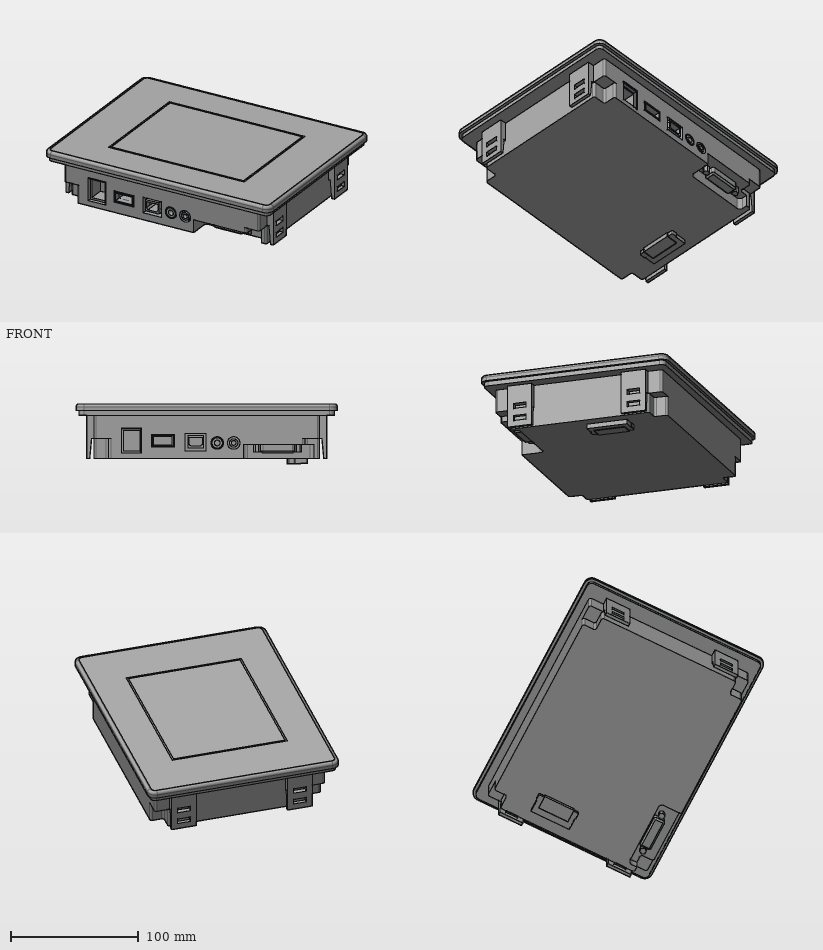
import cadquery as cq


bezel_length = 204.5
bezel_width = 156.0
bezel_corner = 6.3
bezel_edge_fillet = 2.5
bezel_top = 43.0
bezel_bottom = 37.6
gasket_inset = 2.2
gasket_bottom = 34.0

overlay_inset = 3.0
face_relief = 0.2
display_length = 122.6
display_width = 94.0
display_groove = 1.5

housing_length = 176.5
housing_width = 139.5
housing_fillet = 1.8
corner_step_x = 11.5
corner_step_y = 11.0
corner_step_height = 15.7

clip_outer_x = 93.8
clip_width = 20.2
clip_y = 47.5
clip_tip_thickness = 2.5
clip_root_thickness = 3.9
window_width = 10.5
window_height = 4.0
window_levels = (7.0, 17.0)

bay_left = 28.8
bay_right = 83.8
bay_height = 11.2
bay_depth = 18.4
bay_fillet = 3.0
serial_x = 55.4
serial_inset = 11.9
shell_length = 26.5
shell_thickness = 9.5
shell_bottom = 4.5
shell_corner = 1.8
shell_chamfer = 1.5
nut_spacing = 32.3
nut_diameter = 5.3
nut_bottom = 5.3

port_y = 19.8
port_ears_left = 63.5
port_ears_right = 69.0
port_ears_length = 34.7
port_ears_fillet = 1.0
port_back_right = 78.7
port_back_length = 33.5
port_back_drop = 3.7
port_shell_left = 62.8
port_shell_right = 73.4
port_shell_length = 25.5
port_shell_drop = 4.3

ethernet_steps = (
    ((-66.6, -50.9, 4.5, 24.1), 0.8),
    ((-66.6, -51.7, 4.5, 23.3), 3.3),
    ((-65.2, -52.3, 6.1, 21.9), 16.4),
)
usb_groove_depth = 6.1
usb_cavity_depth = 12.3
usb_a_opening = (-43.3, -25.3, 9.0, 18.8)
usb_a_shell = (-42.5, -26.2, 9.8, 18.0)
usb_a_cavity = (-41.7, -27.0, 10.6, 17.2)
usb_b_opening = (-17.0, -0.5, 6.1, 19.6)
usb_b_shell = (-14.7, -2.7, 8.4, 18.2)
usb_b_cavity = (-14.0, -3.5, 9.8, 16.5)
usb_b_cavity_chamfer = 1.5

jack_z = 12.3
jack_opening_radius = 5.0
jack_groove_depth = 4.0
jack_bore_depth = 10.2
jacks = (
    {"x": 8.2, "collar": 4.0, "bore": 2.2},
    {"x": 21.0, "collar": 3.3, "bore": 1.8},
)

wall_x = housing_length / 2
wall_y = housing_width / 2


def block(left, right, front, back, bottom, top):
    """Axis-aligned box given by its six limits."""
    return cq.Workplane("XY").box(
        right - left, back - front, top - bottom, centered=False
    ).translate((left, front, bottom))


def plate(length, width, bottom, top, corner):
    """Centred plate with rounded vertical corners."""
    outline = cq.Workplane("XY").workplane(offset=bottom).rect(length, width)
    return outline.extrude(top - bottom).edges("|Z").fillet(corner)


def front_pocket(opening, depth):
    """Rectangular cutter sunk into the front wall."""
    left, right, bottom, top = opening
    return block(left, right, -wall_y, -wall_y + depth, bottom, top)


def make_bezel():
    rim = plate(bezel_length, bezel_width, bezel_bottom, bezel_top, bezel_corner)
    rim = rim.faces(">Z").edges().fillet(bezel_edge_fillet)
    gasket = plate(
        bezel_length - 2 * gasket_inset,
        bezel_width - 2 * gasket_inset,
        gasket_bottom,
        bezel_bottom,
        bezel_corner - gasket_inset,
    )
    overlay = plate(
        bezel_length - 2 * overlay_inset,
        bezel_width - 2 * overlay_inset,
        bezel_top - face_relief,
        bezel_top,
        bezel_corner - overlay_inset,
    )
    groove = (
        cq.Workplane("XY")
        .workplane(offset=bezel_top - face_relief)
        .rect(display_length, display_width)
        .rect(display_length - 2 * display_groove, display_width - 2 * display_groove)
        .extrude(-face_relief)
    )
    return rim.union(gasket).cut(overlay).cut(groove)


def make_housing():
    upper = block(-wall_x, wall_x, -wall_y, wall_y, corner_step_height, gasket_bottom)
    upper = upper.edges("|Z").fillet(housing_fillet)
    lower = block(-wall_x, wall_x, -wall_y, wall_y, 0, corner_step_height)
    for side in (-1, 1):
        for end in (-1, 1):
            corner = cq.Workplane("XY").box(
                2 * corner_step_x, 2 * corner_step_y, 2 * corner_step_height
            ).translate((side * wall_x, end * wall_y, 0))
            lower = lower.cut(corner)
    lower = lower.edges("|Z").fillet(housing_fillet)
    return upper.union(lower)


def make_clip():
    """Clip on the -X side: joined to the wall above the corner step, a tapered tongue below it."""
    tongue = (
        cq.Workplane("XZ")
        .polyline([
            (-clip_outer_x, 0),
            (-clip_outer_x, gasket_bottom),
            (-wall_x, gasket_bottom),
            (-wall_x, corner_step_height),
            (-clip_outer_x + clip_root_thickness, corner_step_height),
            (-clip_outer_x + clip_tip_thickness, 0),
        ])
        .close()
        .extrude(clip_width / 2, both=True)
    )
    for level in window_levels:
        tongue = tongue.cut(block(
            -clip_outer_x, -wall_x,
            -window_width / 2, window_width / 2,
            level - window_height / 2, level + window_height / 2,
        ))
    return tongue


def add_clips(body):
    left_clip = make_clip()
    right_clip = left_clip.mirror("YZ")
    for y in (-clip_y, clip_y):
        for clip in (left_clip, right_clip):
            body = body.union(clip.translate((0, y, 0)))
    return body


def front_bore(x, radius, depth):
    """Round cutter sunk into the front wall at jack height."""
    start = cq.Vector(x, -wall_y, jack_z)
    return cq.Workplane(cq.Solid.makeCylinder(radius, depth, start, cq.Vector(0, 1, 0)))


def cut_ethernet(body):
    for opening, depth in ethernet_steps:
        body = body.cut(front_pocket(opening, depth))
    return body


def cut_usb(body, opening, shell, cavity):
    """Groove around a shell that stays flush with the wall, and the cavity inside the shell."""
    groove = front_pocket(opening, usb_groove_depth).cut(front_pocket(shell, usb_groove_depth))
    return body.cut(groove).cut(cavity)


def cut_jacks(body):
    for jack in jacks:
        collar = front_bore(jack["x"], jack["collar"], jack_groove_depth)
        groove = front_bore(jack["x"], jack_opening_radius, jack_groove_depth).cut(collar)
        body = body.cut(groove).cut(front_bore(jack["x"], jack["bore"], jack_bore_depth))
    return body


def cut_sockets(body):
    usb_a = front_pocket(usb_a_cavity, usb_cavity_depth)
    usb_b = front_pocket(usb_b_cavity, usb_cavity_depth)
    usb_b = usb_b.faces("<Z").edges("|Y").chamfer(usb_b_cavity_chamfer)
    body = cut_ethernet(body)
    body = cut_usb(body, usb_a_opening, usb_a_shell, usb_a)
    body = cut_usb(body, usb_b_opening, usb_b_shell, usb_b)
    return cut_jacks(body)


def add_serial_connector(body):
    bay = block(bay_left, bay_right, -wall_y, -wall_y + bay_depth, 0, bay_height)
    bay = bay.faces(">Y").edges("|Z").fillet(bay_fillet)
    y = -wall_y + serial_inset
    shell = block(
        serial_x - shell_length / 2, serial_x + shell_length / 2,
        y - shell_thickness / 2, y + shell_thickness / 2,
        shell_bottom, bay_height,
    )
    shell = shell.edges("|Z").fillet(shell_corner)
    shell = shell.faces("<Z").edges("<Y").chamfer(shell_chamfer)
    nuts = (
        cq.Workplane("XY")
        .workplane(offset=nut_bottom)
        .pushPoints([(serial_x - nut_spacing / 2, y), (serial_x + nut_spacing / 2, y)])
        .polygon(6, nut_diameter)
        .extrude(bay_height - nut_bottom)
    )
    return body.cut(bay).union(shell).union(nuts)


def port_block(left, right, length, drop):
    """Block under the housing, centred on the bottom connector."""
    return block(left, right, port_y - length / 2, port_y + length / 2, -drop, 0)


def add_bottom_connector(body):
    ears = port_block(port_ears_left, port_ears_right, port_ears_length, port_back_drop)
    ears = ears.edges("|Z").fillet(port_ears_fillet)
    back = port_block(port_ears_right, port_back_right, port_back_length, port_back_drop)
    shell = port_block(port_shell_left, port_shell_right, port_shell_length, port_shell_drop)
    return body.union(ears).union(back).union(shell)


body = make_bezel().union(make_housing())
body = add_clips(body)
body = cut_sockets(body)
body = add_serial_connector(body)
result = add_bottom_connector(body)